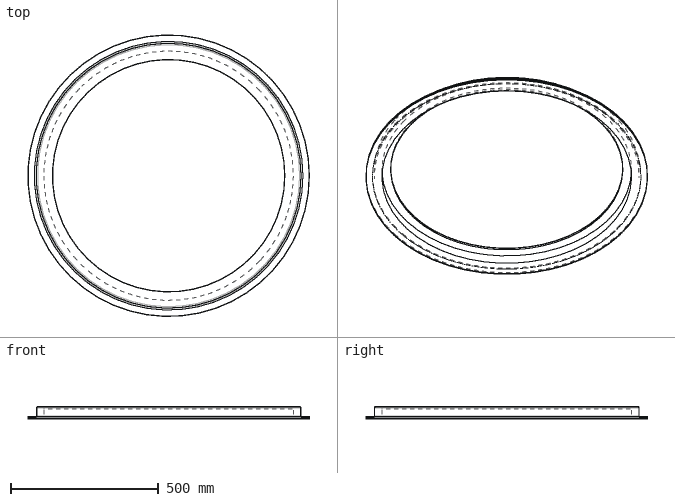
import cadquery as cq

total_height = 42.0
flange_radius = 477.0
wall_radius = 448.0
wall_bore_radius = 423.0
top_bore_radius = 393.0
top_plate_thickness = 8.0
top_edge_radius = 5.0
base_fillet_radius = 2.0

flat_ring_bore_radius = 455.0
flat_ring_bottom = 3.6
flat_ring_thickness = 4.2
flat_ring_top = flat_ring_bottom + flat_ring_thickness


def make_housing():
    """Revolved housing with a stepped rim that receives the flat ring."""
    top_plate_bottom = total_height - top_plate_thickness
    profile = (
        cq.Workplane("XZ")
        .moveTo(wall_bore_radius, 0)
        .lineTo(flange_radius, 0)
        .lineTo(flange_radius, flat_ring_bottom)
        .lineTo(flat_ring_bore_radius, flat_ring_bottom)
        .lineTo(flat_ring_bore_radius, flat_ring_top)
        .lineTo(wall_radius + base_fillet_radius, flat_ring_top)
        .radiusArc((wall_radius, flat_ring_top + base_fillet_radius), base_fillet_radius)
        .lineTo(wall_radius, total_height - top_edge_radius)
        .radiusArc((wall_radius - top_edge_radius, total_height), -top_edge_radius)
        .lineTo(top_bore_radius, total_height)
        .lineTo(top_bore_radius, top_plate_bottom)
        .lineTo(wall_bore_radius, top_plate_bottom)
        .close()
    )
    return profile.revolve(360, (0, 0, 0), (0, 1, 0))


def make_flat_ring():
    """Plain washer-shaped ring lying on the housing flange."""
    return (
        cq.Workplane("XY")
        .workplane(offset=flat_ring_bottom)
        .circle(flange_radius)
        .circle(flat_ring_bore_radius)
        .extrude(flat_ring_thickness)
    )


housing = make_housing()
flat_ring = make_flat_ring()

result = cq.Compound.makeCompound([housing.val(), flat_ring.val()])